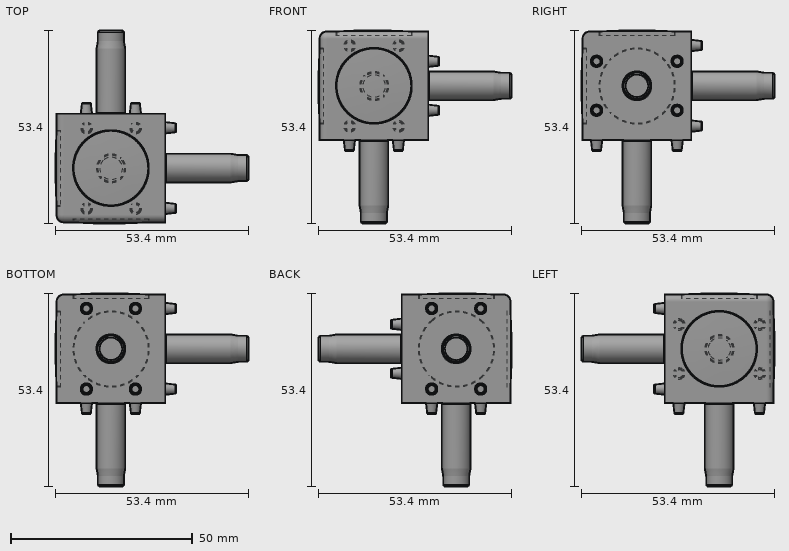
import cadquery as cq

CUBE = 30.0
HALF = CUBE / 2
EDGE_RADIUS = 2.05

RECESS_DIAMETER = 21.0
CAP_DIAMETER = 20.5
RECESS_DEPTH = 1.0
DOME_HEIGHT = 0.4

ROD_LENGTH = 23.0
ROD_DIAMETER = 8.0
ROD_END_DIAMETER = 7.25
ROD_BASE_CHAMFER = 0.25
ROD_TAPER_START = 17.95
ROD_TAPER_END = 20.0
ROD_TIP_CHAMFER = 0.55

PEG_LENGTH = 3.0
PEG_BASE_DIAMETER = 3.2
PEG_TIP_DIAMETER = 2.55
PEG_TIP_CHAMFER_LENGTH = 0.3
PEG_TIP_CHAMFER_WIDTH = 0.2
PEG_SPACING_LONG = 22.2
PEG_SPACING_SHORT = 13.5

ROD_FACES = [
    ((1, 0, 0), (0, 1, 0)),
    ((0, 1, 0), (0, 0, 1)),
    ((0, 0, -1), (0, 1, 0)),
]
CAP_FACES = [
    ((-1, 0, 0), (0, 1, 0)),
    ((0, -1, 0), (0, 0, 1)),
    ((0, 0, 1), (0, 1, 0)),
]


def face_plane(normal, x_direction):
    """Plane on a cube face, centred there, with its z axis pointing outward."""
    origin = tuple(HALF * component for component in normal)
    return cq.Plane(origin=origin, xDir=x_direction, normal=normal)


def revolve_profile(points):
    """Solid of revolution about Z from (radius, height) points."""
    return cq.Workplane("XZ").polyline(points).close().revolve(360, (0, 0), (0, 1))


def make_peg():
    """Tapered peg on z = 0 with a chamfered tip."""
    base_radius = PEG_BASE_DIAMETER / 2
    tip_radius = PEG_TIP_DIAMETER / 2
    return revolve_profile([
        (0, 0),
        (base_radius, 0),
        (tip_radius, PEG_LENGTH - PEG_TIP_CHAMFER_LENGTH),
        (tip_radius - PEG_TIP_CHAMFER_WIDTH, PEG_LENGTH),
        (0, PEG_LENGTH),
    ]).val()


def make_rod():
    """Rod on z = 0: chamfered foot, cylinder, taper, slimmer end, chamfered tip."""
    radius = ROD_DIAMETER / 2
    end_radius = ROD_END_DIAMETER / 2
    return revolve_profile([
        (0, 0),
        (radius - ROD_BASE_CHAMFER, 0),
        (radius, ROD_BASE_CHAMFER),
        (radius, ROD_TAPER_START),
        (end_radius, ROD_TAPER_END),
        (end_radius, ROD_LENGTH - ROD_TIP_CHAMFER),
        (end_radius - ROD_TIP_CHAMFER, ROD_LENGTH),
        (0, ROD_LENGTH),
    ]).val()


def make_cap():
    """Domed disc: flat underside on the recess floor, rim level with z = 0."""
    radius = CAP_DIAMETER / 2
    sphere_radius = (radius**2 + DOME_HEIGHT**2) / (2 * DOME_HEIGHT)
    dome = cq.Workplane("XZ", origin=(0, 0, DOME_HEIGHT - sphere_radius)).sphere(sphere_radius)
    disc = cq.Workplane("XY").workplane(offset=-RECESS_DEPTH).circle(radius)
    return disc.extrude(RECESS_DEPTH + DOME_HEIGHT).intersect(dome).val()


def make_housing():
    """Rounded cube with a recess for each cap and the pegs around each rod."""
    cube = cq.Workplane("XY").box(CUBE, CUBE, CUBE)
    rounded_edges = "(<X and <Y) or (<X and >Z) or (<Y and >Z)"
    cube = cube.edges(rounded_edges).fillet(EDGE_RADIUS)

    for face in CAP_FACES:
        recess = cq.Workplane(face_plane(*face)).circle(RECESS_DIAMETER / 2).extrude(-RECESS_DEPTH)
        cube = cube.cut(recess)

    peg = make_peg()
    for face in ROD_FACES:
        face_place = cq.Location(face_plane(*face))
        for side_long in (-1, 1):
            for side_short in (-1, 1):
                offset = cq.Vector(side_long * PEG_SPACING_LONG / 2, side_short * PEG_SPACING_SHORT / 2, 0)
                cube = cube.union(cq.Workplane(peg.moved(face_place * cq.Location(offset))))
    return cube


housing = make_housing()
caps = [make_cap().moved(cq.Location(face_plane(*face))) for face in CAP_FACES]
rods = [make_rod().moved(cq.Location(face_plane(*face))) for face in ROD_FACES]

result = cq.Compound.makeCompound([housing.val(), *caps, *rods])